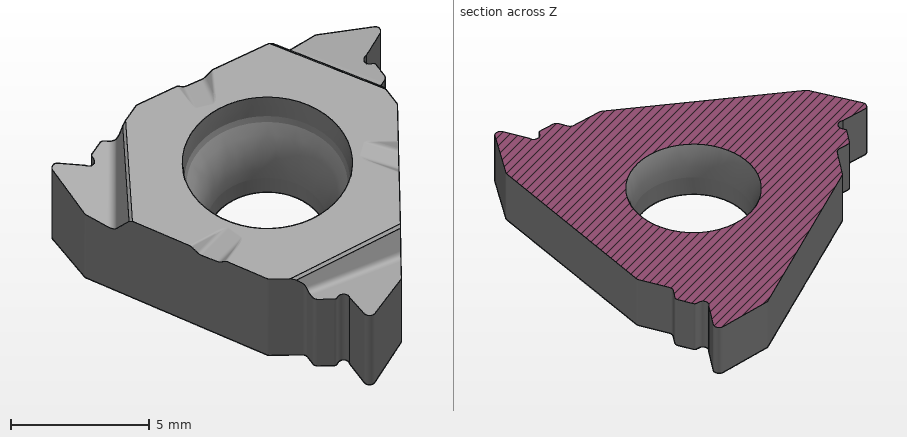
import cadquery as cq
import math

TEETH = 3
PITCH_ANGLE = 360 / TEETH
THICKNESS = 4.35
SIDE_DISTANCE = 9.525 / 2
CORNER_RADIUS = 0.2
BODY_CORNER_ANGLE = 60

CORNER_HEIGHT = 5.454
CREST_HEIGHT = 5.98
TIP_HEIGHT = 6.9
FLANK_START = 4.905
LEADING_FLANK_ANGLE = 62
TRAILING_FLANK_ANGLE = 60
TRAILING_FLANK_DISTANCE = 0.475
STEP_DISTANCE = 1.612
TIP_RADIUS = 0.215
NOTCH_RADIUS = 0.22
NOTCH_UNDERCUT = 0.02
NOTCH_FLOOR_HEIGHT = 5.715
NOTCH_CORNER_RADIUS = 0.1
CREST_CORNER_RADIUS = 0.2
STEP_ROOT_RADIUS = 0.2

RAKE_ANGLE = 8.5
LEAD_ANGLE = 4.9
POCKET_SKEW = 1.2
RAKE_TIP_X = 7.7
RAKE_TIP_DEPTH = 0.436
POCKET_WALL_ANGLE = 58
POCKET_WALL_X = 5.084
POCKET_ROOT_RADIUS = 0.32
POCKET_HALF_LENGTH = 4
POCKET_OUTER_X = 9
POCKET_CLEARANCE = 1
EDGE_BREAK_X = 5.02
EDGE_BREAK_ANGLE = 36
EDGE_BREAK_RUN = 0.4
EDGE_BREAK_SKEW = 1.9

CHIP_END_X = -3.44
CHIP_END_Y = -0.56
CHIP_FLOOR_WIDTH = 0.79
CHIP_SIDE_DEPTH = 0.25
CHIP_WALL_ANGLE = 38
CHIP_FLOOR_RADIUS = 0.28
CHIP_CUTTER_HEIGHT = 0.8
CHIP_CUTTER_HALF_LENGTH = 2
CHIP_RIM_RADIUS = 0.15
CHIP_RIM_MARGIN = 0.2
CHIP_RIM_SPAN = 1.5
CHIP_SKEW = 14

BORE_RADIUS = 4.4 / 2
SEAT_TOP_RADIUS = 3.08
SEAT_LOWER_RADIUS = 3.0
SEAT_WALL_DEPTH = 1.0
SEAT_RADIUS = 2.92
SEAT_DEPTH = 1.24
BORE_DEPTH = 3.55


def sind(angle):
    return math.sin(math.radians(angle))


def cosd(angle):
    return math.cos(math.radians(angle))


def tand(angle):
    return math.tan(math.radians(angle))


def rotated(point, angle):
    x, y = point
    return (x * cosd(angle) - y * sind(angle), x * sind(angle) + y * cosd(angle))


def trailing_x(distance, height):
    """X of a line parallel to the trailing flank, at a given height."""
    return (distance - height * cosd(TRAILING_FLANK_ANGLE)) / sind(TRAILING_FLANK_ANGLE)


NOTCH_CENTER_Y = NOTCH_FLOOR_HEIGHT + NOTCH_RADIUS
NOTCH_REACH = NOTCH_RADIUS - NOTCH_UNDERCUT
NOTCH_CENTER_X = trailing_x(TRAILING_FLANK_DISTANCE + NOTCH_REACH, NOTCH_CENTER_Y)
NOTCH_RISE = math.sqrt(NOTCH_RADIUS**2 - NOTCH_REACH**2)
NOTCH_DX = NOTCH_RADIUS * sind(TRAILING_FLANK_ANGLE)
NOTCH_DY = NOTCH_RADIUS * cosd(TRAILING_FLANK_ANGLE)

FLANK_CORNER = (-SIDE_DISTANCE, FLANK_START)
TIP_LEADING = (-SIDE_DISTANCE + (TIP_HEIGHT - FLANK_START) / tand(LEADING_FLANK_ANGLE), TIP_HEIGHT)
TIP_TRAILING = (trailing_x(TRAILING_FLANK_DISTANCE, TIP_HEIGHT), TIP_HEIGHT)
NOTCH_START = (
    NOTCH_CENTER_X - NOTCH_REACH * sind(TRAILING_FLANK_ANGLE) - NOTCH_RISE * cosd(TRAILING_FLANK_ANGLE),
    NOTCH_CENTER_Y - NOTCH_REACH * cosd(TRAILING_FLANK_ANGLE) + NOTCH_RISE * sind(TRAILING_FLANK_ANGLE),
)
NOTCH_BOTTOM = (NOTCH_CENTER_X, NOTCH_FLOOR_HEIGHT)
NOTCH_END = (NOTCH_CENTER_X + NOTCH_DX, NOTCH_CENTER_Y - NOTCH_DY)
CREST_START = (
    NOTCH_END[0] + (CREST_HEIGHT - NOTCH_END[1]) / tand(TRAILING_FLANK_ANGLE),
    CREST_HEIGHT,
)
CREST_END = (trailing_x(STEP_DISTANCE, CREST_HEIGHT), CREST_HEIGHT)
STEP_ROOT = (trailing_x(STEP_DISTANCE, CORNER_HEIGHT), CORNER_HEIGHT)
BODY_CORNER = (
    (SIDE_DISTANCE - CORNER_HEIGHT * sind(BODY_CORNER_ANGLE)) / cosd(BODY_CORNER_ANGLE),
    CORNER_HEIGHT,
)

ROUNDED_CORNERS = [
    (FLANK_CORNER, CORNER_RADIUS),
    (TIP_LEADING, TIP_RADIUS),
    (TIP_TRAILING, TIP_RADIUS),
    (CREST_START, NOTCH_CORNER_RADIUS),
    (CREST_END, CREST_CORNER_RADIUS),
    (STEP_ROOT, STEP_ROOT_RADIUS),
    (BODY_CORNER, CORNER_RADIUS),
]


def make_body():
    outline = cq.Workplane("XY").moveTo(*FLANK_CORNER)
    for tooth in range(TEETH):
        turn = -tooth * PITCH_ANGLE
        for point in (TIP_LEADING, TIP_TRAILING, NOTCH_START):
            outline = outline.lineTo(*rotated(point, turn))
        outline = outline.threePointArc(rotated(NOTCH_BOTTOM, turn), rotated(NOTCH_END, turn))
        for point in (CREST_START, CREST_END, STEP_ROOT, BODY_CORNER):
            outline = outline.lineTo(*rotated(point, turn))
        if tooth < TEETH - 1:
            outline = outline.lineTo(*rotated(FLANK_CORNER, turn - PITCH_ANGLE))
    body = outline.close().extrude(THICKNESS)

    for radius in sorted({radius for _, radius in ROUNDED_CORNERS}):
        edges = []
        for corner, corner_radius in ROUNDED_CORNERS:
            if corner_radius != radius:
                continue
            for tooth in range(TEETH):
                x, y = rotated(corner, -tooth * PITCH_ANGLE)
                middle = cq.selectors.NearestToPointSelector((x, y, THICKNESS / 2))
                edges.append(body.edges("|Z").edges(middle).val())
        body = body.newObject(edges).fillet(radius)
    return body


def make_screw_hole():
    """Through bore with a recessed, bell-shaped seat, revolved about Z."""
    seat_drop = BORE_DEPTH - SEAT_DEPTH
    seat_step = SEAT_RADIUS - BORE_RADIUS
    bell_radius = (seat_drop**2 + seat_step**2) / (2 * seat_step)
    bell_angle = math.degrees(math.asin(seat_drop / bell_radius)) / 2
    bell_middle = (
        BORE_RADIUS + bell_radius * (1 - cosd(bell_angle)),
        THICKNESS - BORE_DEPTH + bell_radius * sind(bell_angle),
    )
    return (
        cq.Workplane("XZ")
        .lineTo(BORE_RADIUS, 0)
        .lineTo(BORE_RADIUS, THICKNESS - BORE_DEPTH)
        .threePointArc(bell_middle, (SEAT_RADIUS, THICKNESS - SEAT_DEPTH))
        .lineTo(SEAT_LOWER_RADIUS, THICKNESS - SEAT_WALL_DEPTH)
        .lineTo(SEAT_TOP_RADIUS, THICKNESS)
        .lineTo(0, THICKNESS)
        .close()
        .revolve(360, (0, 0, 0), (0, 1, 0))
    )


def make_rake_pocket():
    """Chip pocket over the tooth on +X: sloping rake floor, steep wall and broken top edge."""
    depth_at_zero = RAKE_TIP_DEPTH + RAKE_TIP_X * tand(RAKE_ANGLE)
    wall_slope = tand(POCKET_WALL_ANGLE)
    root_x = (depth_at_zero + POCKET_WALL_X * wall_slope) / (wall_slope + tand(RAKE_ANGLE))
    root_z = (POCKET_WALL_X - root_x) * wall_slope
    outer_z = POCKET_OUTER_X * tand(RAKE_ANGLE) - depth_at_zero
    pocket = (
        cq.Workplane("XZ")
        .moveTo(root_x, root_z)
        .lineTo(POCKET_OUTER_X, outer_z)
        .lineTo(POCKET_OUTER_X, POCKET_CLEARANCE)
        .lineTo(POCKET_WALL_X - POCKET_CLEARANCE / wall_slope, POCKET_CLEARANCE)
        .close()
        .extrude(POCKET_HALF_LENGTH, both=True)
        .edges(cq.selectors.NearestToPointSelector((root_x, 0, root_z)))
        .fillet(POCKET_ROOT_RADIUS)
        .rotate((0, 0, 0), (1, 0, 0), -LEAD_ANGLE)
        .rotate((POCKET_WALL_X, 0, 0), (POCKET_WALL_X, 0, 1), -POCKET_SKEW)
    )
    edge_break = (
        cq.Workplane("XZ")
        .moveTo(EDGE_BREAK_X, 0)
        .lineTo(EDGE_BREAK_X + EDGE_BREAK_RUN, -EDGE_BREAK_RUN * tand(EDGE_BREAK_ANGLE))
        .lineTo(EDGE_BREAK_X + EDGE_BREAK_RUN, 0)
        .close()
        .extrude(POCKET_HALF_LENGTH, both=True)
        .rotate((EDGE_BREAK_X, 0, 0), (EDGE_BREAK_X, 0, 1), EDGE_BREAK_SKEW)
    )
    return pocket.union(edge_break).translate((0, 0, THICKNESS))


def make_chip_notch():
    """Notch across the -X side whose floor rises to the top face and fades out there."""
    side_reach = (SIDE_DISTANCE + CHIP_END_X) / cosd(CHIP_SKEW)
    floor_slope = math.degrees(math.atan(CHIP_SIDE_DEPTH / side_reach))
    half_floor = CHIP_FLOOR_WIDTH / 2
    half_top = half_floor + CHIP_CUTTER_HEIGHT / tand(CHIP_WALL_ANGLE)
    return (
        cq.Workplane("YZ")
        .moveTo(-half_floor, 0)
        .lineTo(half_floor, 0)
        .lineTo(half_top, CHIP_CUTTER_HEIGHT)
        .lineTo(-half_top, CHIP_CUTTER_HEIGHT)
        .close()
        .extrude(CHIP_CUTTER_HALF_LENGTH, both=True)
        .edges("|X and <Z")
        .fillet(CHIP_FLOOR_RADIUS)
        .rotate((0, 0, 0), (0, 1, 0), -floor_slope)
        .rotate((0, 0, 0), (0, 0, 1), -CHIP_SKEW)
        .translate((CHIP_END_X, CHIP_END_Y, THICKNESS))
    )


def round_chip_rims(body):
    """Soften the top edge of every chip notch."""
    edges = []
    for edge in body.faces(">Z").edges().vals():
        middle = edge.Center()
        for tooth in range(TEETH):
            x, y = rotated((middle.x, middle.y), -tooth * PITCH_ANGLE)
            in_x = -SIDE_DISTANCE + CHIP_RIM_MARGIN < x < CHIP_END_X + CHIP_RIM_MARGIN
            if in_x and abs(y - CHIP_END_Y) < CHIP_RIM_SPAN:
                edges.append(edge)
    return body.newObject(edges).fillet(CHIP_RIM_RADIUS)


def cut_at_teeth(body, cutter):
    """Cut three copies of the cutter, one for each tooth."""
    for tooth in range(TEETH):
        body = body.cut(cutter.rotate((0, 0, 0), (0, 0, 1), tooth * PITCH_ANGLE))
    return body


result = make_body().cut(make_screw_hole())
result = cut_at_teeth(result, make_chip_notch())
result = round_chip_rims(result)
result = cut_at_teeth(result, make_rake_pocket())